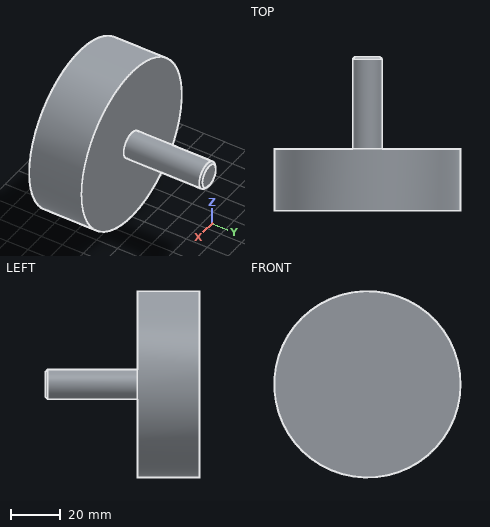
import cadquery as cq

pad_diameter = 75.0
pad_thickness = 25.0
stud_diameter = 12.0
stud_length = 37.0
stud_chamfer = 0.95


def cylinder_along_y(diameter, start, length):
    """Cylinder on the Y axis, running from Y = start towards +Y."""
    base = cq.Workplane("XZ", origin=(0, start, 0))
    return base.circle(diameter / 2).extrude(-length)


pad = cylinder_along_y(pad_diameter, 0, pad_thickness)

stud = cylinder_along_y(stud_diameter, pad_thickness, stud_length)
stud = stud.faces(">Y").chamfer(stud_chamfer)

result = cq.Compound.makeCompound([pad.val(), stud.val()])